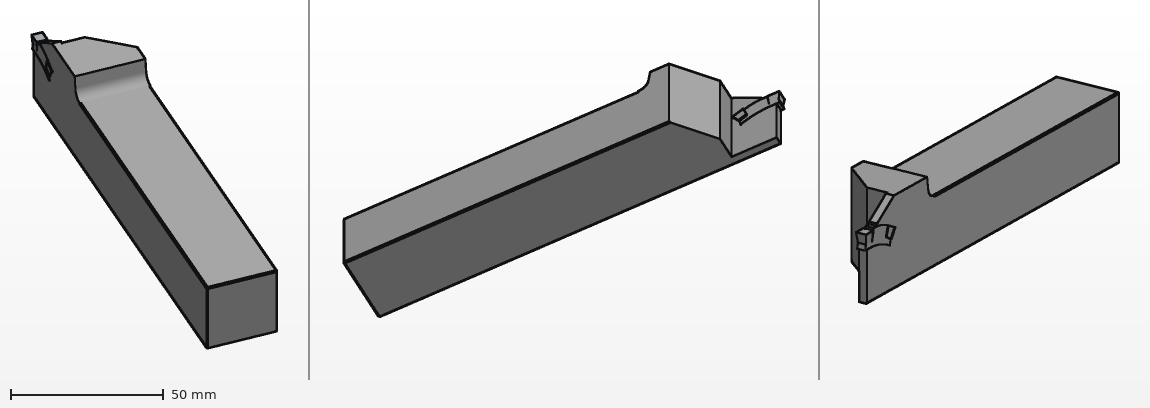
import cadquery as cq
import math

total_length = 150.0
total_height = 33.0
shank_size = 25.0
edge_chamfer = 0.5

head_front_x = 17.8
head_top_back_x = 36.5
head_back_angle = 8.0
head_root_radius = 3.8
corner_end_x = 29.4
corner_start_y = 11.2

blade_front_x = 1.2
blade_width = 3.2
blade_lip_x = 7.0
blade_lip_z = 26.4
blade_slope_end_x = 17.0
seat_entry_z = 21.0

insert_overhang = 0.3
insert_head_width = 3.9
insert_top_z = 24.9
front_notch = (0.5, 21.2)
front_foot = (0.0, 19.2)
belly_start = (4.5, front_foot[1])
belly_mid = (9.5, 18.3)
rear_foot = (14.5, 16.2)
rear_notch = (15.0, 18.3)
rear_tip = (17.2, 21.8)
rear_head_top = (13.4, 23.7)
rear_head_inner = (12.2, 20.0)
crown_mid = (9.6, 25.0)
crown_start = (blade_lip_x, 25.5)
crown_front = (5.1, 25.5)
front_tip = (0.0, insert_top_z)
front_head_top = (4.5, insert_top_z)
front_head_inner = (4.0, front_notch[1])


def extrude_xz(sketch, y_start, width):
    """Extrude a closed XZ outline from y_start towards +Y."""
    return sketch.extrude(-width).translate((0, y_start, 0))


def make_shank():
    length = total_length - head_front_x
    shank = cq.Workplane("XY").box(length, shank_size, shank_size, centered=False)
    shank = shank.translate((head_front_x, 0, 0))
    return shank.edges("|X or >X").chamfer(edge_chamfer)


def make_head():
    back_foot_x = head_top_back_x + (total_height - shank_size) * math.tan(math.radians(head_back_angle))
    tangent_length = head_root_radius * math.tan(math.radians((90 - head_back_angle) / 2))
    block_end_x = back_foot_x + tangent_length
    outline = (
        cq.Workplane("XZ")
        .moveTo(head_front_x, 0)
        .lineTo(block_end_x, 0)
        .lineTo(block_end_x, shank_size)
        .radiusArc(
            (
                back_foot_x - tangent_length * math.sin(math.radians(head_back_angle)),
                shank_size + tangent_length * math.cos(math.radians(head_back_angle)),
            ),
            head_root_radius,
        )
        .lineTo(head_top_back_x, total_height)
        .lineTo(head_front_x, total_height)
        .close()
    )
    return extrude_xz(outline, 0, shank_size).edges("|X and <Z").chamfer(edge_chamfer)


def make_blade():
    outline = cq.Workplane("XZ").polyline([
        (blade_front_x, 0),
        (blade_front_x, seat_entry_z),
        (blade_lip_x, seat_entry_z),
        (blade_lip_x, blade_lip_z),
        (blade_slope_end_x, total_height),
        (head_front_x, total_height),
        (head_front_x, 0),
    ]).close()
    return extrude_xz(outline, 0, blade_width).edges("|X and <Z and <Y").chamfer(edge_chamfer)


def make_corner_cutter():
    """Prism outside the slanted rear corner of the head."""
    return (
        cq.Workplane("XY")
        .polyline([
            (head_front_x, corner_start_y),
            (corner_end_x, shank_size),
            (head_front_x, shank_size),
        ])
        .close()
        .extrude(total_height)
    )


def make_insert_core():
    outline = (
        cq.Workplane("XZ")
        .moveTo(*front_tip)
        .lineTo(*front_notch)
        .lineTo(*front_foot)
        .lineTo(*belly_start)
        .threePointArc(belly_mid, rear_foot)
        .lineTo(*rear_notch)
        .lineTo(*rear_tip)
        .lineTo(*rear_head_top)
        .threePointArc(crown_mid, crown_start)
        .lineTo(*crown_front)
        .lineTo(*front_head_top)
        .close()
    )
    return extrude_xz(outline, 0, blade_width)


def make_cutting_head(corners):
    outline = cq.Workplane("XZ").polyline(corners).close()
    return extrude_xz(outline, -insert_overhang, insert_head_width)


def make_side_relief_envelope():
    """Wedge that narrows the front head from full width at its top to blade width at its foot."""
    return (
        cq.Workplane("YZ")
        .polyline([
            (-insert_overhang, insert_top_z),
            (insert_head_width - insert_overhang, insert_top_z),
            (blade_width, front_notch[1]),
            (0, front_notch[1]),
        ])
        .close()
        .extrude(front_head_top[0])
    )


def make_insert():
    front_head = make_cutting_head([front_tip, front_head_top, front_head_inner, front_notch])
    front_head = front_head.intersect(make_side_relief_envelope())
    rear_head = make_cutting_head([rear_tip, rear_head_top, rear_head_inner, rear_notch])
    return make_insert_core().union(front_head).union(rear_head)


def make_holder():
    body = make_shank().union(make_head()).cut(make_corner_cutter())
    return body.union(make_blade()).cut(make_insert_core())


holder = make_holder()
insert = make_insert()

result = cq.Compound.makeCompound([*holder.solids().vals(), *insert.solids().vals()])